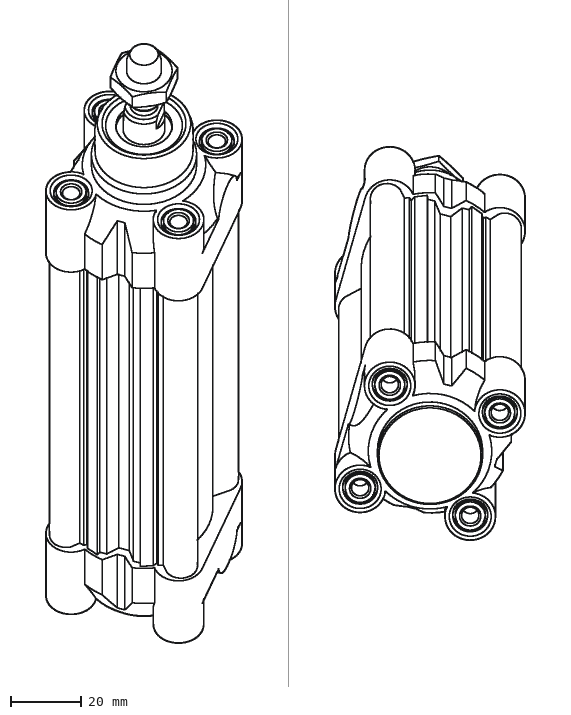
import cadquery as cq
import math



TOTAL_LENGTH = 226.0
SPIGOT_HEIGHT = 3.6
CAP_LENGTH = 27.0
BARREL_LENGTH = 121.0
BARREL_BOTTOM = SPIGOT_HEIGHT + CAP_LENGTH
BARREL_TOP = BARREL_BOTTOM + BARREL_LENGTH
FRONT_CAP_TOP = BARREL_TOP + CAP_LENGTH

WIDTH = 47.0
POST_RADIUS = 7.2
POST_OFFSET = WIDTH / 2 - POST_RADIUS
LOBE_RADIUS = 23.3
SHOULDER_HEIGHT = 15.1
CONE_TOP_RADIUS = 17.6
GROOVE_FLOOR_RADIUS = 19.5
GROOVE_FLOOR_HALF_WIDTH = 1.1
PORT_RADIUS = 8.0
PORT_OFFSET_Y = 5.5
PORT_HEIGHT = 13.8
COLLAR_RADIUS = 30.0 / 2

SOCKET_MOUTH_RADIUS = 12.0 / 2
SOCKET_MOUTH_DEPTH = 1.0
GAP_OUTER_RADIUS = 10.0 / 2
HEAD_RADIUS = 8.5 / 2
GAP_DEPTH = 1.8
HEAD_FACE_DEPTH = 0.5
THREAD_MOUTH_RADIUS = 6.0 / 2
THREAD_RADIUS = 5.0 / 2
THREAD_DEPTH = 9.0
DRILL_TIP_LENGTH = 1.4

COLLAR_HEIGHT = 4.5
COLLAR_TAPER_TOP = 6.0
BOSS_RADIUS = 14.0
BOSS_HEIGHT = 17.9
BOSS_BEVEL_HEIGHT = 2.5
BOSS_RIM_RADIUS = 13.3
WIPER_MOUTH_RADIUS = 12.0
WIPER_RADIUS = 22.0 / 2
WIPER_DEPTH = 1.0
SEAL_RADIUS = 16.0 / 2
SEAL_DEPTH = 2.3
SPIGOT_BEVEL = 0.5

CORNER_RADIUS = 4.7
BARREL_HALF_WIDTH = 22.1
CORNER_OFFSET = BARREL_HALF_WIDTH - CORNER_RADIUS
SLOT_FLOOR = 17.0
SLOT_FLOOR_HALF_WIDTH = 1.5
SLOT_MOUTH_HALF_WIDTH = 4.0
LIP_HEIGHT = 20.3
LIP_END = 6.0
RIB_POINTS = [(6.5, 21.5), (10.0, 20.1), (10.6, 18.8), (11.3, 19.5), (12.7, 19.0)]
NOTCH_ROOT = (15.8, 9.3)
CORNER_SWEEP_END = 37.0
TUBE_RADIUS = 19.7
TUBE_HALF_WIDTH = 8.5

ROD_RADIUS = 12.0 / 2
ROD_END_RADIUS = 5.5
ROD_SHOULDER = 204.0
ROD_BEVEL_HEIGHT = 1.4
FLAT_WIDTH = 10.0
FLAT_BOTTOM = 199.3
NECK_RADIUS = 8.0 / 2
NECK_TOP = 205.9
THREAD_START = 207.5
ROD_THREAD_RADIUS = 10.0 / 2
THREAD_BEVEL_START = 223.0
ROD_TIP_RADIUS = 4.0

NUT_ACROSS_FLATS = 17.0
NUT_BOTTOM = 213.0
NUT_HEIGHT = 6.0
NUT_FACE_RADIUS = 16.0 / 2
NUT_BEVEL_ANGLE = 25.0
HEXAGON_TURN = 30.0


def revolve_profile(points):
    """Turn a closed (radius, height) outline about the Z axis."""
    return cq.Workplane("XZ").polyline(points).close().revolve(360, (0, 0, 0), (0, 1, 0))


def post_centres():
    return [(sx * POST_OFFSET, sy * POST_OFFSET) for sx in (-1, 1) for sy in (-1, 1)]


def side_groove():
    """V groove with a narrow floor, running along Z in the -Y side of a cap."""
    depth = WIDTH / 2 - GROOVE_FLOOR_RADIUS
    mouth_half_width = GROOVE_FLOOR_HALF_WIDTH + depth
    return (
        cq.Workplane("XY")
        .polyline([
            (-mouth_half_width, -WIDTH / 2),
            (-GROOVE_FLOOR_HALF_WIDTH, -GROOVE_FLOOR_RADIUS),
            (GROOVE_FLOOR_HALF_WIDTH, -GROOVE_FLOOR_RADIUS),
            (mouth_half_width, -WIDTH / 2),
        ])
        .close()
        .extrude(CAP_LENGTH)
    )


def screw_socket():
    """Countersunk ring gap around a raised head face, and a threaded hole with a drill tip."""
    head_face = CAP_LENGTH - HEAD_FACE_DEPTH
    gap_floor = CAP_LENGTH - GAP_DEPTH
    thread_start = head_face - (THREAD_MOUTH_RADIUS - THREAD_RADIUS)
    thread_end = CAP_LENGTH - THREAD_DEPTH
    return revolve_profile([
        (0, CAP_LENGTH),
        (SOCKET_MOUTH_RADIUS, CAP_LENGTH),
        (GAP_OUTER_RADIUS, CAP_LENGTH - SOCKET_MOUTH_DEPTH),
        (GAP_OUTER_RADIUS, gap_floor),
        (HEAD_RADIUS, gap_floor),
        (HEAD_RADIUS, head_face),
        (THREAD_MOUTH_RADIUS, head_face),
        (THREAD_RADIUS, thread_start),
        (THREAD_RADIUS, thread_end),
        (0, thread_end - DRILL_TIP_LENGTH),
    ])


def port_side():
    """Flat pad and round port boss on the +X side of a cap."""
    pad = cq.Workplane("XY").box(WIDTH / 2, 2 * POST_OFFSET, SHOULDER_HEIGHT, centered=(False, True, False))
    boss = (
        cq.Workplane("YZ")
        .center(PORT_OFFSET_Y, PORT_HEIGHT)
        .circle(PORT_RADIUS)
        .extrude(WIDTH / 2)
    )
    return pad.union(boss)


def cap_block():
    """Cap standing on its barrel face at Z = 0, outer face up."""
    block = revolve_profile([
        (0, 0),
        (LOBE_RADIUS, 0),
        (LOBE_RADIUS, SHOULDER_HEIGHT),
        (CONE_TOP_RADIUS, CAP_LENGTH),
        (0, CAP_LENGTH),
    ])
    for turn in (0, -90, 180):
        block = block.cut(side_groove().rotate((0, 0, 0), (0, 0, 1), turn))
    block = block.union(port_side())
    block = block.union(cq.Workplane("XY").pushPoints(post_centres()).circle(POST_RADIUS).extrude(CAP_LENGTH))
    for x, y in post_centres():
        block = block.cut(screw_socket().translate((x, y, 0)))
    return block


def make_rear_cap():
    """Rear cap: the cap block upside down, with a centring spigot below."""
    block = cap_block().mirror("XY").translate((0, 0, BARREL_BOTTOM))
    spigot = (
        cq.Workplane("XY")
        .circle(COLLAR_RADIUS)
        .extrude(SPIGOT_HEIGHT)
        .faces("<Z")
        .chamfer(SPIGOT_BEVEL)
    )
    return block.union(spigot)


def make_front_cap():
    """Front cap: the cap block with a stepped boss, bored through for the rod."""
    block = cap_block().translate((0, 0, BARREL_TOP))
    boss_top = FRONT_CAP_TOP + BOSS_HEIGHT
    boss = revolve_profile([
        (0, FRONT_CAP_TOP),
        (COLLAR_RADIUS, FRONT_CAP_TOP),
        (COLLAR_RADIUS, FRONT_CAP_TOP + COLLAR_HEIGHT),
        (BOSS_RADIUS, FRONT_CAP_TOP + COLLAR_TAPER_TOP),
        (BOSS_RADIUS, boss_top - BOSS_BEVEL_HEIGHT),
        (BOSS_RIM_RADIUS, boss_top),
        (0, boss_top),
    ])
    bore = revolve_profile([
        (0, BARREL_TOP),
        (ROD_RADIUS, BARREL_TOP),
        (ROD_RADIUS, boss_top - SEAL_DEPTH),
        (SEAL_RADIUS, boss_top - SEAL_DEPTH),
        (SEAL_RADIUS, boss_top - WIPER_DEPTH),
        (WIPER_RADIUS, boss_top - WIPER_DEPTH),
        (WIPER_MOUTH_RADIUS, boss_top),
        (0, boss_top),
    ])
    return block.union(boss).cut(bore)


def make_barrel():
    """Extruded profile: slotted +Y and -Y sides, round tube wall on the +X and -X sides."""
    along = CORNER_OFFSET - CORNER_RADIUS * math.sin(math.radians(CORNER_SWEEP_END))
    outward = CORNER_OFFSET + CORNER_RADIUS * math.cos(math.radians(CORNER_SWEEP_END))
    diagonal = CORNER_OFFSET + CORNER_RADIUS * math.sqrt(0.5)
    tube_edge_x = math.sqrt(TUBE_RADIUS**2 - TUBE_HALF_WIDTH**2)
    half_tube_angle = math.asin(TUBE_HALF_WIDTH / TUBE_RADIUS) / 2
    quarter = (
        cq.Workplane("XY", origin=(0, 0, BARREL_BOTTOM))
        .lineTo(0, SLOT_FLOOR)
        .lineTo(SLOT_FLOOR_HALF_WIDTH, SLOT_FLOOR)
        .lineTo(SLOT_MOUTH_HALF_WIDTH, LIP_HEIGHT)
        .lineTo(LIP_END, LIP_HEIGHT)
        .polyline(RIB_POINTS, includeCurrent=True)
        .lineTo(along, outward)
        .threePointArc((diagonal, diagonal), (outward, along))
        .lineTo(*NOTCH_ROOT)
        .lineTo(tube_edge_x, TUBE_HALF_WIDTH)
        .threePointArc(
            (TUBE_RADIUS * math.cos(half_tube_angle), TUBE_RADIUS * math.sin(half_tube_angle)),
            (TUBE_RADIUS, 0),
        )
        .close()
        .extrude(BARREL_LENGTH)
    )
    half = quarter.union(quarter.mirror("YZ"))
    return half.union(half.mirror("XZ"))


def make_rod():
    """Rod from the barrel face to the threaded tip, with two wrench flats facing +X and -X."""
    rod = revolve_profile([
        (0, BARREL_TOP),
        (ROD_RADIUS, BARREL_TOP),
        (ROD_RADIUS, ROD_SHOULDER - ROD_BEVEL_HEIGHT),
        (ROD_END_RADIUS, ROD_SHOULDER),
        (NECK_RADIUS, ROD_SHOULDER),
        (NECK_RADIUS, NECK_TOP),
        (ROD_THREAD_RADIUS, THREAD_START),
        (ROD_THREAD_RADIUS, THREAD_BEVEL_START),
        (ROD_TIP_RADIUS, TOTAL_LENGTH),
        (0, TOTAL_LENGTH),
    ])
    flat_height = ROD_SHOULDER - FLAT_BOTTOM
    for side in (-1, 1):
        flat = cq.Workplane("XY").box(ROD_RADIUS, 2 * ROD_RADIUS, flat_height, centered=(True, True, False))
        rod = rod.cut(flat.translate((side * (FLAT_WIDTH + ROD_RADIUS) / 2, 0, FLAT_BOTTOM)))
    return rod


def make_nut():
    """Hexagon nut with corners bevelled at both ends, flats facing +X and -X."""
    corner_radius = NUT_ACROSS_FLATS / math.sqrt(3)
    bevel_drop = (corner_radius - NUT_FACE_RADIUS) * math.tan(math.radians(NUT_BEVEL_ANGLE))
    hexagon = (
        cq.Workplane("XY")
        .polygon(6, 2 * corner_radius)
        .extrude(NUT_HEIGHT)
        .rotate((0, 0, 0), (0, 0, 1), HEXAGON_TURN)
    )
    bevelled_blank = revolve_profile([
        (ROD_THREAD_RADIUS, 0),
        (NUT_FACE_RADIUS, 0),
        (corner_radius, bevel_drop),
        (corner_radius, NUT_HEIGHT - bevel_drop),
        (NUT_FACE_RADIUS, NUT_HEIGHT),
        (ROD_THREAD_RADIUS, NUT_HEIGHT),
    ])
    return hexagon.intersect(bevelled_blank).translate((0, 0, NUT_BOTTOM))


rear_cap = make_rear_cap()
barrel = make_barrel()
front_cap = make_front_cap()
rod = make_rod()
nut = make_nut()

result = cq.Compound.makeCompound([
    rear_cap.val(),
    barrel.val(),
    front_cap.val(),
    rod.val(),
    nut.val(),
])